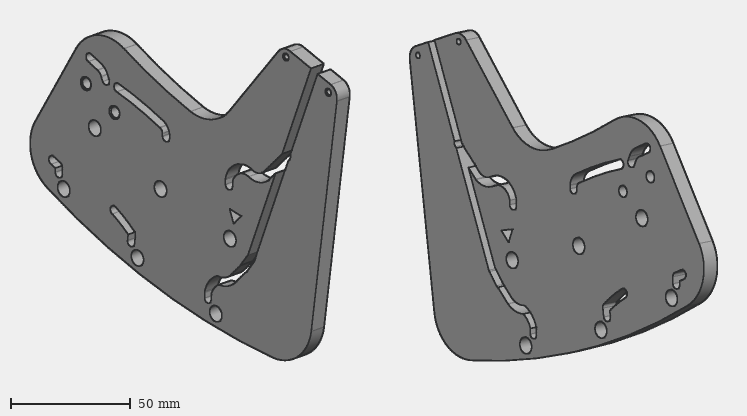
import cadquery as cq

thickness = 8.0

lower_left = (-7.7, 54.9)
upper_left = (36.8, 127.2)
valley = (105.0, 93.1)
arm_tip_left = (144.6, 140.0)
arm_tip_right = (176.1, 127.8)
lower_right = (158.2, -1.4)
upper_edge_middle = (72.1, 106.3)
lower_edge_middle = (73.9, 14.6)
body_corner_radius = 20.0
arm_tip_radius = 6.0

plain_hole_diameter = 7
plain_hole_centres = [(36.8, 77.0), (74.5, 59.3), (114.2, 47.0), (19.0, 45.8), (61.2, 25.5), (106.1, 11.8)]
body_screw_diameter = 5.0
body_screw_rim_diameter = 6.0
body_screw_centres = [(31.7, 95.5), (48.0, 86.8)]
tip_screw_diameter = 2.5
tip_screw_rim_diameter = 3.3
tip_screw_centres = [(146.2, 135.3), (170.5, 125.6)]
countersink_angle = 90

slot_width = 4.0
lower_branch_width = 3.7
split_top = (164.9, 139)
split_bend = (126.3, 41.4)
lower_branch_start = (122.1, 35.9)

marker_corners = [(114.0, 60.2), (120.7, 58.6), (116.3, 54.2)]


def front_sketch():
    return cq.Workplane("XZ")


def through(outline):
    """Extrude a closed outline from the front face to the back face."""
    return outline.extrude(-thickness)


def slot(path, width=slot_width):
    """Round-ended through slot that follows an open centre line."""
    return through(path.wire().offset2D(width / 2))


def round_corners(body, corners, radius):
    """Round the outline corners that stand at the given points."""
    for x, z in corners:
        edge = cq.selectors.NearestToPointSelector((x, thickness / 2, z))
        body = body.edges(edge).fillet(radius)
    return body


def blank_plate():
    outline = (
        front_sketch()
        .moveTo(*lower_left)
        .lineTo(*upper_left)
        .threePointArc(upper_edge_middle, valley)
        .lineTo(*arm_tip_left)
        .lineTo(*arm_tip_right)
        .lineTo(*lower_right)
        .threePointArc(lower_edge_middle, lower_left)
        .close()
    )
    body = through(outline)
    body = round_corners(body, [lower_left, upper_left, valley, lower_right], body_corner_radius)
    return round_corners(body, [arm_tip_left, arm_tip_right], arm_tip_radius)


def screw_holes(body, centres, diameter, rim_diameter):
    """Through holes with a small countersink on the front face."""
    front_face = body.faces("<Y").workplane(origin=(0, 0, 0))
    return front_face.pushPoints(centres).cskHole(diameter, rim_diameter, countersink_angle)


def upper_hook_slot():
    start = (33.8, 107.5)
    bend_start = (38.9, 105.0)
    bend_middle = (41.0, 103.6)
    bend_end = (42.2, 101.7)
    end = (43.1, 99.8)
    path = front_sketch().moveTo(*start).lineTo(*bend_start)
    return slot(path.threePointArc(bend_middle, bend_end).lineTo(*end))


def upper_long_slot():
    start = (49.8, 98.2)
    sweep_middle = (64.0, 93.1)
    sweep_end = (74.6, 88.3)
    bend_middle = (76.7, 86.8)
    bend_end = (77.6, 84.5)
    end = (77.6, 83.0)
    path = front_sketch().moveTo(*start).threePointArc(sweep_middle, sweep_end)
    return slot(path.threePointArc(bend_middle, bend_end).lineTo(*end))


def lower_hook_slot():
    start = (12.5, 56.8)
    corner = (16.2, 55.0)
    end = (16.2, 52.0)
    return slot(front_sketch().moveTo(*start).lineTo(*corner).lineTo(*end))


def lower_long_slot():
    start = (47.7, 43.3)
    sweep_middle = (52.6, 40.0)
    corner = (58, 35.4)
    end = (57.5, 31.7)
    return slot(front_sketch().moveTo(*start).threePointArc(sweep_middle, corner).lineTo(*end))


def trunk_slot():
    """Straight slot that splits the arm, open at the tip and bent at its lower end."""
    return slot(front_sketch().moveTo(*split_top).lineTo(*split_bend).lineTo(*lower_branch_start))


def upper_branch_slot():
    """Curved slot that leaves the trunk halfway down."""
    on_trunk = (146.8, 91.7)
    straight_end = (134.8, 79.7)
    dip_middle = (130.0, 78.0)
    dip_end = (125.6, 79.0)
    hook_middle = (116.1, 77.3)
    hook_end = (113.7, 72.7)
    end = (113.7, 70.5)
    path = front_sketch().moveTo(*on_trunk).lineTo(*straight_end).threePointArc(dip_middle, dip_end)
    return slot(path.threePointArc(hook_middle, hook_end).lineTo(*end))


def lower_branch_slot():
    """Slightly narrower curved slot that carries on from the bent end of the trunk."""
    straight_end = (115.6, 29.4)
    dip_middle = (112.0, 27.3)
    dip_end = (107.3, 27.0)
    hook_middle = (103.5, 23.8)
    hook_end = (101.5, 19.7)
    end = (101.5, 17.2)
    path = front_sketch().moveTo(*lower_branch_start).lineTo(*straight_end).threePointArc(dip_middle, dip_end)
    return slot(path.threePointArc(hook_middle, hook_end).lineTo(*end), lower_branch_width)


def marker_window():
    """Triangular opening that points down at the hole below it."""
    return through(front_sketch().polyline(marker_corners).close())


def plain_holes():
    return through(front_sketch().pushPoints(plain_hole_centres).circle(plain_hole_diameter / 2))


cutters = [
    upper_hook_slot(),
    upper_long_slot(),
    lower_hook_slot(),
    lower_long_slot(),
    trunk_slot(),
    upper_branch_slot(),
    lower_branch_slot(),
    marker_window(),
    plain_holes(),
]

result = blank_plate()
for cutter in cutters:
    result = result.cut(cutter)
result = screw_holes(result, body_screw_centres, body_screw_diameter, body_screw_rim_diameter)
result = screw_holes(result, tip_screw_centres, tip_screw_diameter, tip_screw_rim_diameter)